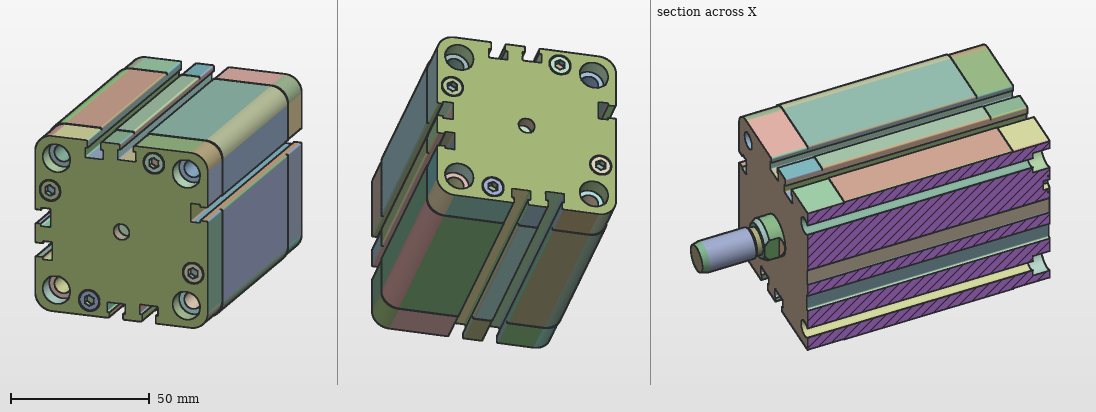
import cadquery as cq
import math


total_length = 127.0
cap_length = 14.5
barrel_length = 66.5
body_length = 2 * cap_length + barrel_length
front_y = -total_length / 2
rear_cap_y = front_y + cap_length + barrel_length
rear_y = front_y + body_length
tip_y = total_length / 2

barrel_side = 67.0
cap_side = 66.5
corner_radius = 6.5

deep_slot = (-10.5, 26.7, 30.4)
shallow_slot = (2.0, 27.3, 31.1)
slot_width = 7.0
mouth_width = 5.2
mouth_radius = 0.6
chamber_radius = 0.5
sides = 4
single_slot_turn = 3

mount_offset = 25.0
mount_diameter = 6.6
counterbore_diameter = 10.5
counterbore_depth = 6.6

screw_long_offset = 27.5
screw_short_offset = 12.5
screw_hole_diameter = 8.0
screw_head_diameter = 7.5
screw_gap_depth = 0.6
hex_across_flats = 3.5
hex_depth = 2.5

centre_hole_diameter = 6.0
centre_hole_depth = 5.1

collar_diameter = 16.0
collar_length = 7.6
collar_end_diameter = 13.6
collar_chamfer_length = 1.9
across_flats = 13.0
flat_length = 5.8
neck_diameter = 10.5
neck_length = 2.3
thread_diameter = 12.0
thread_run_in = 0.8
tip_chamfer_length = 2.7


def face_plane(y):
    """Plane facing -Y, with its local x along X and its local y along Z."""
    return cq.Workplane("XZ", origin=(0, y, 0))


def square_block(side, start_y, length):
    block = face_plane(start_y).rect(side, side).extrude(-length)
    return block.edges("|Y").fillet(corner_radius)


def quarter_turned(shape, turn):
    """Turn counter-clockwise as seen from the front face."""
    return shape.rotate((0, 0, 0), (0, -1, 0), 360 / sides * turn)


def slot_cutter(slot, side, start_y, length):
    """T-slot on the +Z side, with rounded mouth edges and rounded chamber corners."""
    offset, floor_z, lip_z = slot
    top_z = side / 2
    half_mouth = mouth_width / 2
    flare = half_mouth + mouth_radius
    arc_step = mouth_radius * (1 - math.sqrt(0.5))
    chamber = (
        face_plane(start_y)
        .center(offset, (floor_z + lip_z) / 2)
        .rect(slot_width, lip_z - floor_z)
        .extrude(-length)
        .edges("|Y")
        .fillet(chamber_radius)
    )
    mouth = (
        face_plane(start_y)
        .center(offset, 0)
        .moveTo(-half_mouth, lip_z)
        .lineTo(half_mouth, lip_z)
        .lineTo(half_mouth, top_z - mouth_radius)
        .threePointArc((half_mouth + arc_step, top_z - arc_step), (flare, top_z))
        .lineTo(-flare, top_z)
        .threePointArc((-half_mouth - arc_step, top_z - arc_step), (-half_mouth, top_z - mouth_radius))
        .close()
        .extrude(-length)
    )
    return chamber.union(mouth)


def slotted_block(side, start_y, length):
    block = square_block(side, start_y, length)
    deep = slot_cutter(deep_slot, side, start_y, length)
    shallow = slot_cutter(shallow_slot, side, start_y, length)
    for turn in range(sides):
        block = block.cut(quarter_turned(deep, turn))
        if turn != single_slot_turn:
            block = block.cut(quarter_turned(shallow, turn))
    return block


def cut_mounting_holes(body):
    pitch = 2 * mount_offset
    through = face_plane(front_y).rect(pitch, pitch, forConstruction=True).vertices()
    through = through.circle(mount_diameter / 2).extrude(-body_length)
    bore = face_plane(front_y).rect(pitch, pitch, forConstruction=True).vertices()
    bore = bore.circle(counterbore_diameter / 2).extrude(-counterbore_depth)
    return body.cut(through).cut(bore)


def cut_screws(body):
    """Gap round each screw head and its hexagon socket."""
    gap = (
        face_plane(front_y)
        .center(screw_short_offset, screw_long_offset)
        .circle(screw_hole_diameter / 2)
        .circle(screw_head_diameter / 2)
        .extrude(-screw_gap_depth)
    )
    hexagon = cq.Workplane("XZ").polygon(6, hex_across_flats / math.cos(math.pi / 6)).extrude(-hex_depth)
    hexagon = quarter_turned(hexagon, 1)
    for turn in range(sides):
        body = body.cut(quarter_turned(gap, turn))
        angle = 2 * math.pi * turn / sides
        x = screw_short_offset * math.cos(angle) - screw_long_offset * math.sin(angle)
        z = screw_short_offset * math.sin(angle) + screw_long_offset * math.cos(angle)
        body = body.cut(hexagon.translate((x, front_y, z)))
    return body


def cut_centre_hole(body):
    return body.cut(face_plane(front_y).circle(centre_hole_diameter / 2).extrude(-centre_hole_depth))


def piston_rod():
    collar_end_y = rear_y + collar_length
    neck_end_y = collar_end_y + neck_length
    rod = (
        cq.Workplane("XY")
        .moveTo(0, rear_cap_y)
        .lineTo(collar_diameter / 2, rear_cap_y)
        .lineTo(collar_diameter / 2, collar_end_y - collar_chamfer_length)
        .lineTo(collar_end_diameter / 2, collar_end_y)
        .lineTo(neck_diameter / 2, collar_end_y)
        .lineTo(neck_diameter / 2, neck_end_y)
        .lineTo(thread_diameter / 2, neck_end_y + thread_run_in)
        .lineTo(thread_diameter / 2, tip_y - tip_chamfer_length)
        .lineTo(neck_diameter / 2, tip_y)
        .lineTo(0, tip_y)
        .close()
        .revolve(360, (0, 0, 0), (0, 1, 0))
    )
    flat_x = across_flats / 2
    flat_start_y = collar_end_y - flat_length
    run_out = (collar_diameter - across_flats) / 2
    flat = (
        cq.Workplane("XY")
        .moveTo(flat_x, flat_start_y)
        .lineTo(flat_x + run_out, flat_start_y - run_out)
        .lineTo(flat_x + run_out, collar_end_y)
        .lineTo(flat_x, collar_end_y)
        .close()
        .extrude(collar_diameter / 2, both=True)
    )
    return rod.cut(flat).cut(flat.mirror("YZ"))


body = slotted_block(cap_side, front_y, cap_length)
body = body.union(slotted_block(barrel_side, front_y + cap_length, barrel_length))
body = body.union(slotted_block(cap_side, rear_cap_y, cap_length))
body = cut_mounting_holes(body)
body = cut_screws(body)
body = cut_centre_hole(body)
result = body.union(piston_rod())